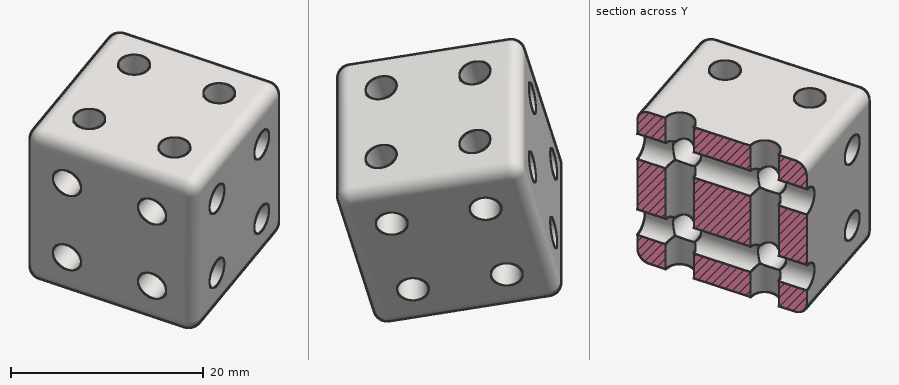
import cadquery as cq

side = 20.0
edge_radius = 1.5
hole_diameter = 3.3
hole_spacing = side / 2


def hole_grid(plane):
    """Four through cylinders normal to a plane through the cube centre."""
    return (
        cq.Workplane(plane)
        .rarray(hole_spacing, hole_spacing, 2, 2)
        .circle(hole_diameter / 2)
        .extrude(side / 2, both=True)
    )


result = cq.Workplane("XY").box(side, side, side).edges().fillet(edge_radius)

for plane in ("XY", "XZ", "YZ"):
    result = result.cut(hole_grid(plane))